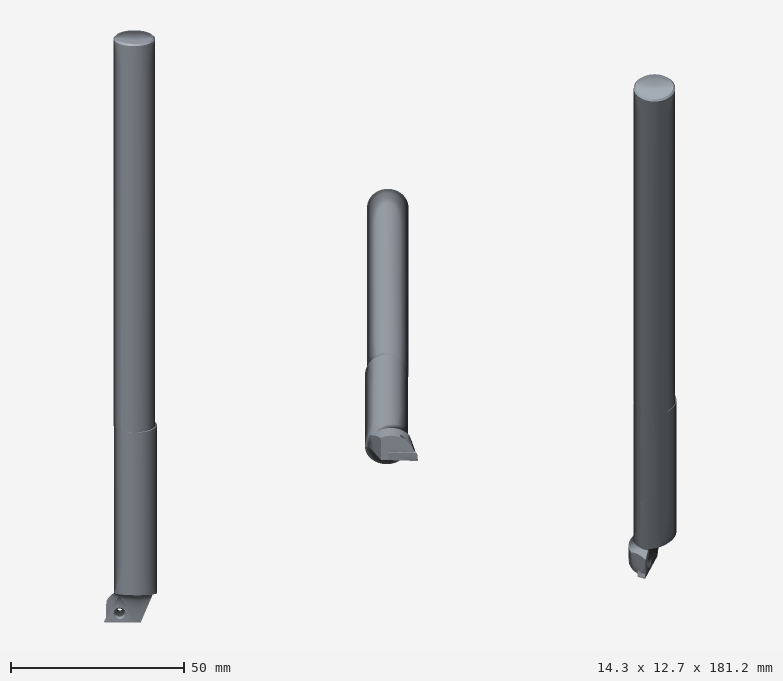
import cadquery as cq
import math

TOOL_ANGLE = 45.0
TOTAL_LENGTH = 181.25

SHANK_RADIUS = 12.0 / 2
END_CHAMFER = 0.5
NECK_RADIUS = 12.45 / 2
NECK_LENGTH = 61.25
NECK_OFFSET = 0.318

SCRIBE_WIDTH = 0.2
SCRIBE_DEPTH = 0.1
SCRIBE_BOTTOM = 71.5
SCRIBE_TOP = 157.2

HEAD_RADIUS = 7.14
HEAD_OFFSET = -0.975
HEAD_HEIGHT = 6.7
CONE_HEIGHT = 2.0
CHIP_FACE_Y = -0.2
LEDGE_HEIGHT = 9.3
LEDGE_ANGLE = 15.0
END_CLEARANCE = 0.2
END_RELIEF_ANGLE = 7.0
BACK_BOTTOM_X = 1.8
BACK_ANGLE = 21.7
FLANK_ANGLE = 20.0
FLANK_TILT = 4.7
FLANK_POINT = (-8.0, 0, 6.0)

CUT_SIZE = 40.0

CORNER_COUNT = 3
HALF_CORNER_ANGLE = 30.0
INSCRIBED_RADIUS = 5.56 / 2
INSERT_THICKNESS = 2.38
NOSE_RADIUS = 0.4
RELIEF_ANGLE = 7.0
RAKE_ANGLE = 5.5
INSERT_TURN = 1.0
TIP_X = -8.72
SCREW_HOLE_DIAMETER = 2.5
COUNTERSINK_DIAMETER = 3.4
COUNTERSINK_ANGLE = 60.0
TAP_DIAMETER = 1.75

NOSE_CENTRE_DISTANCE = 2 * (INSCRIBED_RADIUS - NOSE_RADIUS)
BISECTOR_ANGLE = math.radians(HALF_CORNER_ANGLE + INSERT_TURN)
INSERT_X = TIP_X + NOSE_RADIUS + NOSE_CENTRE_DISTANCE * math.cos(BISECTOR_ANGLE)
INSERT_RISE = NOSE_RADIUS + NOSE_CENTRE_DISTANCE * math.sin(BISECTOR_ANGLE)

RAKE = math.radians(RAKE_ANGLE)
INSERT_CENTRE = cq.Vector(
    INSERT_X, CHIP_FACE_Y + INSERT_RISE * math.sin(RAKE), INSERT_RISE * math.cos(RAKE)
)
INTO_TOOL = cq.Vector(0, math.cos(RAKE), -math.sin(RAKE))
RAKE_PLANE = cq.Plane(origin=INSERT_CENTRE, xDir=(1, 0, 0), normal=INTO_TOOL)


def insert_outline():
    corner_distance = 2 * INSCRIBED_RADIUS
    corners = []
    for index in range(CORNER_COUNT):
        angle = math.pi - BISECTOR_ANGLE + 2 * math.pi * index / CORNER_COUNT
        corners.append((corner_distance * math.cos(angle), corner_distance * math.sin(angle)))
    return cq.Sketch().polygon(corners + corners[:1]).vertices().fillet(NOSE_RADIUS)


def make_insert_blank():
    blank = cq.Workplane(RAKE_PLANE).placeSketch(insert_outline())
    return blank.extrude(INSERT_THICKNESS, taper=RELIEF_ANGLE)


def make_insert():
    hole = cq.Workplane(RAKE_PLANE).circle(SCREW_HOLE_DIAMETER / 2).extrude(INSERT_THICKNESS)
    sink_depth = COUNTERSINK_DIAMETER / 2 / math.tan(math.radians(COUNTERSINK_ANGLE / 2))
    countersink = cq.Solid.makeCone(
        COUNTERSINK_DIAMETER / 2, 0, sink_depth, pnt=INSERT_CENTRE, dir=INTO_TOOL
    )
    return make_insert_blank().cut(hole).cut(cq.Workplane(countersink))


def pocket_opening():
    """Room over the sunken part of the rake face, out to the chip face."""
    return cq.Workplane(RAKE_PLANE).placeSketch(insert_outline()).extrude(-INSERT_THICKNESS)


def make_head():
    head_cylinder = cq.Workplane().center(HEAD_OFFSET, 0).circle(HEAD_RADIUS).extrude(HEAD_HEIGHT)
    cone = cq.Solid.makeCone(
        HEAD_RADIUS, HEAD_RADIUS - CONE_HEIGHT, CONE_HEIGHT, pnt=cq.Vector(HEAD_OFFSET, 0, HEAD_HEIGHT)
    )
    return head_cylinder.union(cq.Workplane(cone))


def chip_space():
    """Room in front of the chip face, closed above by a ledge that rises toward the front."""
    rise = CUT_SIZE * math.tan(math.radians(LEDGE_ANGLE))
    profile = [(0, -CUT_SIZE), (0, LEDGE_HEIGHT), (-CUT_SIZE, LEDGE_HEIGHT + rise), (-CUT_SIZE, -CUT_SIZE)]
    space = cq.Workplane("YZ").polyline(profile).close().extrude(CUT_SIZE, both=True)
    return space.translate((0, CHIP_FACE_Y, 0))


def end_relief():
    """Room below the end face, which rises away from the insert's end edge and to the back."""
    relief = cq.Workplane().box(CUT_SIZE, CUT_SIZE, CUT_SIZE, centered=(True, True, False))
    relief = relief.translate((0, 0, -CUT_SIZE)).rotate((0, 0, 0), (1, 0, 0), END_RELIEF_ANGLE)
    return relief.translate((0, 0, END_CLEARANCE))


def back_relief():
    """Room beside the slanted face on the side away from the tip."""
    top_x = BACK_BOTTOM_X + LEDGE_HEIGHT * math.tan(math.radians(BACK_ANGLE))
    profile = [(BACK_BOTTOM_X, 0), (top_x, LEDGE_HEIGHT), (CUT_SIZE, LEDGE_HEIGHT), (CUT_SIZE, 0)]
    return cq.Workplane("XZ").polyline(profile).close().extrude(CUT_SIZE, both=True)


def flank_relief():
    """Room outside the flat ground on the flank above the insert."""
    relief = cq.Workplane().box(CUT_SIZE, CUT_SIZE, CUT_SIZE).translate((-CUT_SIZE / 2, 0, 0))
    relief = relief.rotate((0, 0, 0), (0, 1, 0), FLANK_TILT).rotate((0, 0, 0), (0, 0, 1), -FLANK_ANGLE)
    return relief.translate(FLANK_POINT)


def scribed_line():
    return cq.Workplane().box(
        SCRIBE_WIDTH, 2 * SCRIBE_DEPTH, SCRIBE_TOP - SCRIBE_BOTTOM, centered=(True, True, False)
    ).translate((0, -SHANK_RADIUS, SCRIBE_BOTTOM))


def make_bar():
    shank = cq.Workplane().workplane(offset=NECK_LENGTH).circle(SHANK_RADIUS)
    shank = shank.extrude(TOTAL_LENGTH - NECK_LENGTH)
    shank = shank.faces(">Z").edges().chamfer(END_CHAMFER).cut(scribed_line())
    neck = cq.Workplane().center(NECK_OFFSET, 0).circle(NECK_RADIUS).extrude(NECK_LENGTH)
    bar = shank.union(neck).union(make_head())
    bar = bar.cut(chip_space()).cut(end_relief()).cut(back_relief()).cut(flank_relief())
    tapped_hole = cq.Workplane(RAKE_PLANE).circle(TAP_DIAMETER / 2).extrude(CUT_SIZE)
    return bar.cut(make_insert_blank()).cut(pocket_opening()).cut(tapped_hole)


def turn_tool(body):
    return body.rotate((0, 0, 0), (0, 0, 1), TOOL_ANGLE)


bar = turn_tool(make_bar())
insert = turn_tool(make_insert())

result = cq.Compound.makeCompound([bar.val(), insert.val()])